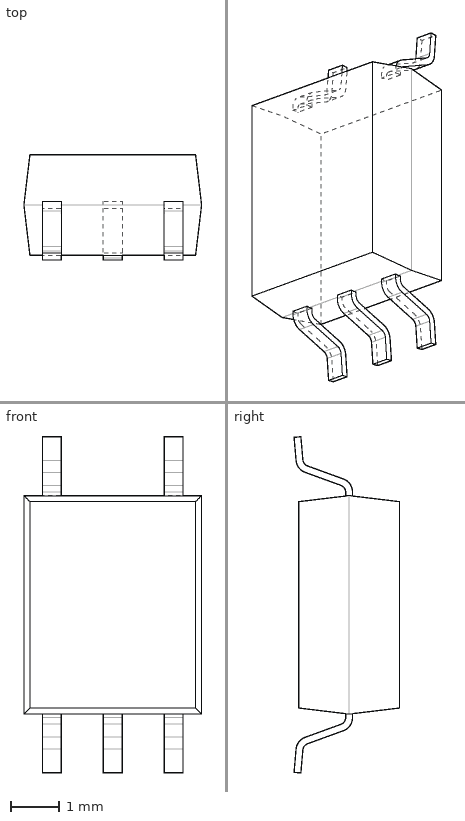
import cadquery as cq
import math

total_height = 7.0
housing_width = 3.7
housing_height = 4.55
housing_depth = 2.1
taper_inset = 0.125
lead_width = 0.4
lead_thickness = 0.15
lead_pitch = 1.27
lead_standoff = 0.1
lead_stub = 0.07
inner_bend_radius = 0.15
slope_angle = math.radians(20)
foot_angle = math.radians(85)

half_depth = housing_depth / 2
housing_top = housing_height / 2
bend_radius = inner_bend_radius + lead_thickness / 2
lead_reach = half_depth + lead_standoff - lead_thickness / 2 * math.sin(foot_angle)
lead_rise = (total_height - housing_height) / 2 - lead_thickness / 2 * math.cos(foot_angle)
bends_reach = bend_radius * (1 + math.sin(foot_angle) - 2 * math.sin(slope_angle))
bends_rise = bend_radius * (2 * math.cos(slope_angle) - math.cos(foot_angle))

runs_reach = lead_reach - bends_reach
runs_rise = lead_rise - lead_stub - bends_rise
angle_sine = math.sin(foot_angle - slope_angle)
slope_length = (runs_reach * math.sin(foot_angle) - runs_rise * math.cos(foot_angle)) / angle_sine
foot_length = (runs_rise * math.cos(slope_angle) - runs_reach * math.sin(slope_angle)) / angle_sine


def make_housing_half(side):
    """Tapered block from the parting plane to the face at side * half_depth."""
    return (
        cq.Workplane("XZ")
        .rect(housing_width, housing_height)
        .workplane(offset=-side * half_depth)
        .rect(housing_width - 2 * taper_inset, housing_height - 2 * taper_inset)
        .loft(ruled=True)
    )


def make_housing():
    return make_housing_half(-1).union(make_housing_half(1)).solids()


def bend_point(center, angle, turn):
    """Point on a bend where the centreline has the given rise; turn is +1 or -1."""
    forward, height = center
    return (
        forward + turn * bend_radius * math.sin(angle),
        height - turn * bend_radius * math.cos(angle),
    )


def make_lead_centreline():
    """Path in a plane whose axes are forward (-Y) and up (+Z)."""
    first_center = (bend_radius, housing_top + lead_stub)
    first_middle = bend_point(first_center, (math.pi / 2 + slope_angle) / 2, -1)
    slope_start = bend_point(first_center, slope_angle, -1)
    slope_end = (
        slope_start[0] + slope_length * math.cos(slope_angle),
        slope_start[1] + slope_length * math.sin(slope_angle),
    )
    second_center = (
        slope_end[0] - bend_radius * math.sin(slope_angle),
        slope_end[1] + bend_radius * math.cos(slope_angle),
    )
    second_middle = bend_point(second_center, (slope_angle + foot_angle) / 2, 1)
    foot_start = bend_point(second_center, foot_angle, 1)
    foot_end = (
        foot_start[0] + foot_length * math.cos(foot_angle),
        foot_start[1] + foot_length * math.sin(foot_angle),
    )
    side_plane = cq.Plane(origin=(0, 0, 0), xDir=(0, -1, 0), normal=(-1, 0, 0))
    return (
        cq.Workplane(side_plane)
        .moveTo(0, housing_top - lead_stub)
        .lineTo(0, housing_top + lead_stub)
        .threePointArc(first_middle, slope_start)
        .lineTo(*slope_end)
        .threePointArc(second_middle, foot_start)
        .lineTo(*foot_end)
    )


def make_lead(x, end, housing):
    """Lead at x on the top (end = 1) or bottom (end = -1), trimmed to the housing surface."""
    lead = (
        cq.Workplane("XY", origin=(0, 0, housing_top - lead_stub))
        .rect(lead_width, lead_thickness)
        .sweep(make_lead_centreline())
    )
    if end < 0:
        lead = lead.mirror("XY")
    return lead.translate((x, 0, 0)).cut(housing).solids()


housing = make_housing()

lead_columns = {1: (-1, 1), -1: (-1, 0, 1)}
leads = []
for end, columns in lead_columns.items():
    for column in columns:
        leads.append(make_lead(column * lead_pitch, end, housing).val())

result = cq.Compound.makeCompound([housing.val(), *leads])